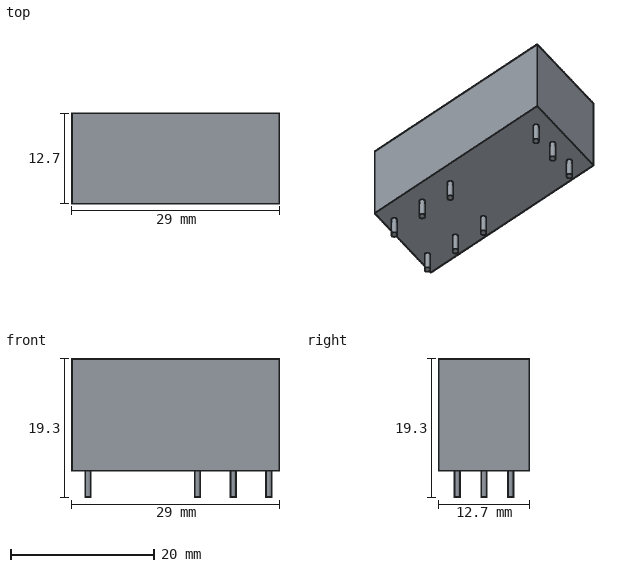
import cadquery as cq

body_length = 29.0
body_width = 12.7
total_height = 19.3
pin_length = 3.65
body_height = total_height - pin_length

pin_diameter = 0.8
row_offset = 3.75
end_pin_inset = 2.25
contact_pin_start = 17.57
contact_pin_pitch = 5.0
contact_columns = 3

end_pin_x = end_pin_inset - body_length / 2
first_contact_x = contact_pin_start - body_length / 2

pin_centers = [(end_pin_x, y) for y in (-row_offset, 0, row_offset)]
for column in range(contact_columns):
    x = first_contact_x + column * contact_pin_pitch
    for y in (-row_offset, row_offset):
        pin_centers.append((x, y))

body = cq.Workplane("XY").box(body_length, body_width, body_height, centered=(True, True, False))
pins = cq.Workplane("XY").pushPoints(pin_centers).circle(pin_diameter / 2).extrude(-pin_length)

result = body.union(pins)